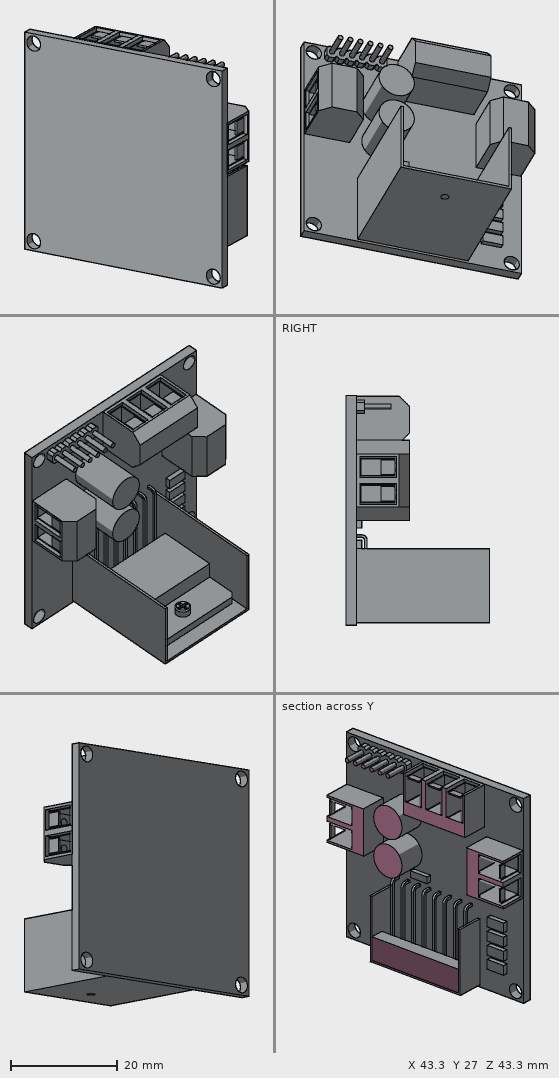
import cadquery as cq
import math


BOARD_SIZE = 43.3
BOARD_THICKNESS = 2.0
MOUNT_HOLE_DIAMETER = 3.0
MOUNT_HOLE_INSET = 1.95
COMPONENT_EDGE = BOARD_SIZE / 2 - 0.15

SUPPLY_WAYS = 3
MOTOR_WAYS = 2
TERMINAL_PITCH = 5.02
TERMINAL_DEPTH = 8.9
TERMINAL_HEIGHT = 10.0
TERMINAL_CHAMFER = 2.0
WINDOW_WIDTH = 3.95
WINDOW_HEIGHT = 6.85
WINDOW_SILL = 0.65
WINDOW_DEPTH = 6.0
CAGE_GAP = 0.25
CAGE_WALL = 0.17
CAGE_RECESS = 0.6
CAGE_WIDTH = WINDOW_WIDTH - 2 * CAGE_GAP
CAGE_HEIGHT = WINDOW_HEIGHT - CAGE_GAP
CAGE_DEPTH = WINDOW_DEPTH - CAGE_RECESS
CLAMP_PLATE_HEIGHT = 2.6
CLAMP_PLATE_WIDTH = CAGE_WIDTH - 4 * CAGE_WALL
CLAMP_PLATE_THICKNESS = 0.4
CLAMP_SCREW_DIAMETER = 1.5
SUPPLY_TERMINAL_X = -4.6
MOTOR_TERMINAL_Z = 5.65

CAPACITOR_DIAMETER = 7.0
CAPACITOR_HEIGHT = TERMINAL_HEIGHT
CAPACITOR_SPACING = 8.15
CAPACITOR_X = 6.65

PIN_COUNT = 6
PIN_PITCH = 2.0
PIN_DIAMETER = 1.0
PIN_HEIGHT = 6.5
HEADER_BASE_HEIGHT = 1.47
HEADER_BASE_DEPTH = 2.5
HEADER_BASE_CHAMFER = PIN_PITCH / 4
HEADER_X = 11.65
HEADER_Z = 19.53

CHIP_HEIGHT = 1.0
DIODE_COUNT = 4
DIODE_PITCH = 3.0
DIODE_LENGTH = 4.0
DIODE_WIDTH = 2.1
DIODE_X = -15.6
DIODE_ROW_Z = -11.13
CHIP_LENGTH = 4.05
CHIP_WIDTH = 1.45
CHIP_X = 3.1
CHIP_Z = -2.65

HEATSINK_WIDTH = 22.0
HEATSINK_HEIGHT = 25.03
HEATSINK_DEPTH = 14.0
HEATSINK_WALL = 0.5
HEATSINK_FRONT_Z = -7.2
PLATE_FRONT_Z = HEATSINK_FRONT_Z - HEATSINK_DEPTH + HEATSINK_WALL

DRIVER_WIDTH = HEATSINK_WIDTH - 2 * HEATSINK_WALL
DRIVER_BOTTOM = 3.0
DRIVER_TAB_BOTTOM = 15.0
DRIVER_TOP = 21.95
DRIVER_THICKNESS = 5.0
TAB_THICKNESS = 1.6
TAB_CHAMFER = 0.9
LEAD_COUNT = 8
LEAD_PITCH = 2.55
LEAD_THICKNESS = 0.5
LEAD_RISE = 2.0
LEAD_BEND_RADIUS = 1.0
LEAD_TIP_Z = -4.6

SCREW_Y = (DRIVER_TAB_BOTTOM + DRIVER_TOP) / 2
SCREW_HEAD_DIAMETER = 3.0
SCREW_HEAD_HEIGHT = 1.5
SCREW_HEAD_CHAMFER = 0.25
SCREW_SHANK_DIAMETER = 1.5
CROSS_LENGTH = 2.1
CROSS_WIDTH = 0.5
CROSS_DEPTH = 0.5


def box(x_range, y_range, z_range):
    """Block between the given limits on each axis."""
    (x0, x1), (y0, y1), (z0, z1) = x_range, y_range, z_range
    return cq.Workplane("XY").box(x1 - x0, y1 - y0, z1 - z0, centered=False).translate((x0, y0, z0))


def upright_cylinder(diameter, height, x, z):
    """Cylinder that rises along +Y from the component face."""
    return cq.Workplane("XZ").center(x, z).circle(diameter / 2).extrude(-height)


def make_board():
    hole_span = BOARD_SIZE - 2 * MOUNT_HOLE_INSET
    return (
        cq.Workplane("XZ")
        .rect(BOARD_SIZE, BOARD_SIZE)
        .extrude(BOARD_THICKNESS)
        .faces("<Y")
        .workplane(origin=(0, 0, 0))
        .rect(hole_span, hole_span, forConstruction=True)
        .vertices()
        .hole(MOUNT_HOLE_DIAMETER)
    )


def make_clamp(center_x):
    """Wire cage in one window, a tongue over its upper front, and the screw that holds it."""
    half = CAGE_WIDTH / 2
    front = -CAGE_RECESS
    back = front - CAGE_DEPTH
    top = WINDOW_SILL + CAGE_HEIGHT
    cage = box((-half, half), (WINDOW_SILL, top), (back, front))
    bore = box(
        (-half + CAGE_WALL, half - CAGE_WALL),
        (WINDOW_SILL + CAGE_WALL, top - CAGE_WALL),
        (back, front),
    )
    plate = box(
        (-CLAMP_PLATE_WIDTH / 2, CLAMP_PLATE_WIDTH / 2),
        (top - CLAMP_PLATE_HEIGHT, top),
        (front - CLAMP_PLATE_THICKNESS, front),
    )
    screw = (
        cq.Workplane("XZ", origin=(0, top - CAGE_WALL, 0))
        .center(0, -TERMINAL_DEPTH / 2)
        .circle(CLAMP_SCREW_DIAMETER / 2)
        .extrude(-(CAGE_WALL + CAGE_GAP))
    )
    return cage.cut(bore).union(plate).union(screw).translate((center_x, 0, 0))


def make_terminal(ways):
    """Terminal block centred on X with its window face on Z = 0, facing +Z."""
    half = ways * TERMINAL_PITCH / 2
    block = (
        box((-half, half), (0, TERMINAL_HEIGHT), (-TERMINAL_DEPTH, 0))
        .faces(">Y")
        .edges("|X")
        .chamfer(TERMINAL_CHAMFER)
    )
    for way in range(ways):
        center_x = (way - (ways - 1) / 2) * TERMINAL_PITCH
        window = box(
            (center_x - WINDOW_WIDTH / 2, center_x + WINDOW_WIDTH / 2),
            (WINDOW_SILL, WINDOW_SILL + WINDOW_HEIGHT),
            (-WINDOW_DEPTH, 0),
        )
        block = block.cut(window).union(make_clamp(center_x))
    return block


def make_terminals():
    """Three-way supply terminal on the +Z edge, two-way motor terminals on both sides."""
    terminals = [make_terminal(SUPPLY_WAYS).translate((SUPPLY_TERMINAL_X, 0, COMPONENT_EDGE))]
    for side in (-1, 1):
        terminal = make_terminal(MOTOR_WAYS).rotate((0, 0, 0), (0, 1, 0), side * 90)
        terminals.append(terminal.translate((side * COMPONENT_EDGE, 0, MOTOR_TERMINAL_Z)))
    return terminals


def make_capacitors():
    return [
        upright_cylinder(
            CAPACITOR_DIAMETER,
            CAPACITOR_HEIGHT,
            CAPACITOR_X,
            MOTOR_TERMINAL_Z + side * CAPACITOR_SPACING / 2,
        )
        for side in (-1, 1)
    ]


def make_header():
    """Row of round pins, each in an eight-sided base."""
    parts = []
    for index in range(PIN_COUNT):
        x = HEADER_X + (index - (PIN_COUNT - 1) / 2) * PIN_PITCH
        base = box(
            (x - PIN_PITCH / 2, x + PIN_PITCH / 2),
            (0, HEADER_BASE_HEIGHT),
            (HEADER_Z - HEADER_BASE_DEPTH / 2, HEADER_Z + HEADER_BASE_DEPTH / 2),
        )
        parts.append(base.edges("|Y").chamfer(HEADER_BASE_CHAMFER))
        parts.append(upright_cylinder(PIN_DIAMETER, PIN_HEIGHT, x, HEADER_Z))
    return parts


def make_chip(length, width, x, z):
    return box(
        (x - length / 2, x + length / 2),
        (0, CHIP_HEIGHT),
        (z - width / 2, z + width / 2),
    )


def make_chips():
    """Column of diodes beside the heatsink and one chip next to the capacitors."""
    chips = [make_chip(CHIP_LENGTH, CHIP_WIDTH, CHIP_X, CHIP_Z)]
    for index in range(DIODE_COUNT):
        z = DIODE_ROW_Z + (index - (DIODE_COUNT - 1) / 2) * DIODE_PITCH
        chips.append(make_chip(DIODE_LENGTH, DIODE_WIDTH, DIODE_X, z))
    return chips


def make_board_assembly():
    assembly = make_board()
    for part in make_terminals() + make_capacitors() + make_header() + make_chips():
        assembly = assembly.union(part)
    return assembly


def make_heatsink():
    """U-shaped channel, open toward +Z, with a hole for the screw."""
    back_z = HEATSINK_FRONT_Z - HEATSINK_DEPTH
    half = HEATSINK_WIDTH / 2
    outer = box((-half, half), (0, HEATSINK_HEIGHT), (back_z, HEATSINK_FRONT_Z))
    channel = box(
        (-half + HEATSINK_WALL, half - HEATSINK_WALL),
        (0, HEATSINK_HEIGHT),
        (PLATE_FRONT_Z, HEATSINK_FRONT_Z),
    )
    return outer.cut(channel).cut(make_screw_shank())


def make_lead(x):
    """Flat lead: down from the package, out along +Z, then round a bend to the board."""
    inner_radius = LEAD_BEND_RADIUS - LEAD_THICKNESS
    mid = math.sqrt(0.5)
    bend_z = LEAD_TIP_Z - LEAD_BEND_RADIUS
    bend_y = LEAD_RISE - LEAD_BEND_RADIUS
    root_z = PLATE_FRONT_Z + DRIVER_THICKNESS / 2
    run_bottom = LEAD_RISE - LEAD_THICKNESS
    return (
        cq.Workplane("ZY", origin=(x + LEAD_THICKNESS / 2, 0, 0))
        .moveTo(root_z, DRIVER_BOTTOM)
        .lineTo(root_z + LEAD_THICKNESS, DRIVER_BOTTOM)
        .lineTo(root_z + LEAD_THICKNESS, LEAD_RISE)
        .lineTo(bend_z, LEAD_RISE)
        .threePointArc(
            (bend_z + LEAD_BEND_RADIUS * mid, bend_y + LEAD_BEND_RADIUS * mid),
            (LEAD_TIP_Z, bend_y),
        )
        .lineTo(LEAD_TIP_Z, 0)
        .lineTo(LEAD_TIP_Z - LEAD_THICKNESS, 0)
        .lineTo(LEAD_TIP_Z - LEAD_THICKNESS, bend_y)
        .threePointArc(
            (bend_z + inner_radius * mid, bend_y + inner_radius * mid),
            (bend_z, run_bottom),
        )
        .lineTo(root_z, run_bottom)
        .close()
        .extrude(LEAD_THICKNESS)
    )


def make_driver():
    """Power package: thick body, thin tab against the heatsink plate, and a row of leads."""
    half = DRIVER_WIDTH / 2
    tab = (
        box(
            (-half, half),
            (DRIVER_BOTTOM, DRIVER_TOP),
            (PLATE_FRONT_Z, PLATE_FRONT_Z + TAB_THICKNESS),
        )
        .faces(">Y")
        .edges("|Z")
        .chamfer(TAB_CHAMFER)
    )
    driver = tab.union(box(
        (-half, half),
        (DRIVER_BOTTOM, DRIVER_TAB_BOTTOM),
        (PLATE_FRONT_Z, PLATE_FRONT_Z + DRIVER_THICKNESS),
    ))
    for index in range(LEAD_COUNT):
        driver = driver.union(make_lead((index - (LEAD_COUNT - 1) / 2) * LEAD_PITCH))
    return driver.cut(make_screw_shank())


def make_screw_shank():
    """Shank from the back of the heatsink plate to the front of the tab."""
    return (
        cq.Workplane("XY", origin=(0, SCREW_Y, PLATE_FRONT_Z - HEATSINK_WALL))
        .circle(SCREW_SHANK_DIAMETER / 2)
        .extrude(HEATSINK_WALL + TAB_THICKNESS)
    )


def make_screw():
    """Screw with a chamfered head and a cross recess, its axis along Z."""
    head_base_z = PLATE_FRONT_Z + TAB_THICKNESS
    recess_z = head_base_z + SCREW_HEAD_HEIGHT - CROSS_DEPTH
    head = (
        cq.Workplane("XY", origin=(0, SCREW_Y, head_base_z))
        .circle(SCREW_HEAD_DIAMETER / 2)
        .extrude(SCREW_HEAD_HEIGHT)
        .faces(">Z")
        .chamfer(SCREW_HEAD_CHAMFER)
    )
    recess_plane = cq.Workplane("XY", origin=(0, SCREW_Y, recess_z))
    cross = (
        recess_plane.rect(CROSS_LENGTH, CROSS_WIDTH).extrude(CROSS_DEPTH)
        .union(recess_plane.rect(CROSS_WIDTH, CROSS_LENGTH).extrude(CROSS_DEPTH))
    )
    return head.cut(cross).union(make_screw_shank())


board_assembly = make_board_assembly()
heatsink = make_heatsink()
driver = make_driver()
screw = make_screw()

result = cq.Compound.makeCompound([
    board_assembly.val(),
    heatsink.val(),
    driver.val(),
    screw.val(),
])